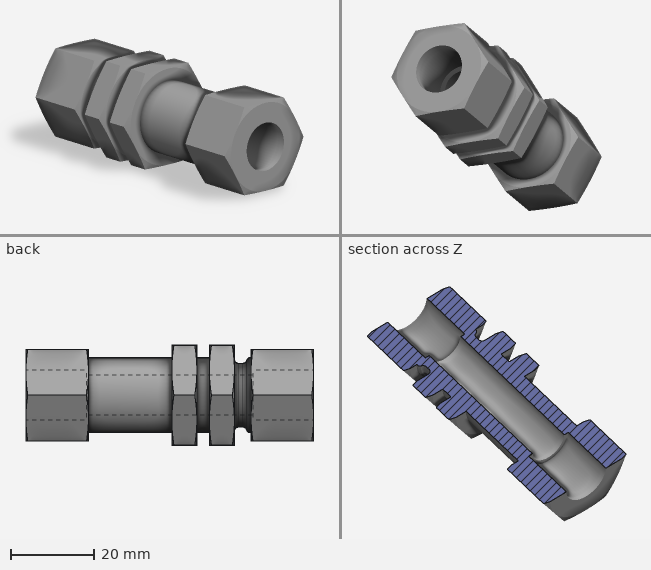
import cadquery as cq
import math


total_length = 69.0
nut_length = 15.0
shoulder_length = 1.0
undercut_length = 3.0
collar_length = 6.0
bulkhead_gap = 3.0
locknut_length = 6.0

nut_flats = 22.0
collar_flats = 24.0
hex_chamfer_angle = math.radians(15)

body_diameter = 18.0
undercut_diameter = 15.3
bore_diameter = 9.6
tube_diameter = 12.0
tube_socket_depth = 14.5

undercut_fillet = 1.0
shoulder_chamfer = 0.5

left_end = -total_length / 2
right_end = total_length / 2
left_nut_end = left_end + nut_length
undercut_start = left_nut_end + shoulder_length
collar_start = undercut_start + undercut_length
collar_end = collar_start + collar_length
locknut_start = collar_end + bulkhead_gap
right_nut_start = right_end - nut_length


def cylinder(start, length, diameter):
    """Solid cylinder along X."""
    return cq.Workplane("YZ", origin=(start, 0, 0)).circle(diameter / 2).extrude(length)


def chamfered_hex(start, length, flats):
    """Hexagonal prism along X with its corners turned off conically at both ends."""
    corner_diameter = flats / math.cos(math.pi / 6)
    prism = cq.Workplane("YZ", origin=(start, 0, 0)).polygon(6, corner_diameter).extrude(length)

    face_radius = flats / 2
    corner_radius = corner_diameter / 2
    chamfer_length = (corner_radius - face_radius) * math.tan(hex_chamfer_angle)
    end = start + length
    envelope = (
        cq.Workplane("XY")
        .moveTo(start, 0)
        .lineTo(start, face_radius)
        .lineTo(start + chamfer_length, corner_radius)
        .lineTo(end - chamfer_length, corner_radius)
        .lineTo(end, face_radius)
        .lineTo(end, 0)
        .close()
        .revolve(360, (0, 0, 0), (1, 0, 0))
    )
    return prism.intersect(envelope)


def undercut_neck():
    """Turned neck: 45 degree chamfered shoulder by the nut, then a groove filleted on each side."""
    outer_radius = body_diameter / 2
    neck_radius = undercut_diameter / 2
    flat_start = undercut_start + undercut_fillet
    flat_end = collar_start - undercut_fillet

    def fillet_point(flat_edge, angle):
        """Point on a fillet, at an angle swept from its tangent point at the flat edge."""
        return (
            flat_edge + undercut_fillet * math.sin(angle),
            neck_radius + undercut_fillet * (1 - math.cos(angle)),
        )

    chamfer_foot_radius = outer_radius - shoulder_chamfer
    shoulder_sweep = math.acos(1 - (chamfer_foot_radius - neck_radius) / undercut_fillet)
    collar_sweep = math.pi / 2
    chamfer_foot = fillet_point(flat_start, -shoulder_sweep)
    return (
        cq.Workplane("XY")
        .moveTo(left_nut_end, 0)
        .lineTo(left_nut_end, outer_radius)
        .lineTo(chamfer_foot[0] - shoulder_chamfer, outer_radius)
        .lineTo(*chamfer_foot)
        .threePointArc(fillet_point(flat_start, -shoulder_sweep / 2), (flat_start, neck_radius))
        .lineTo(flat_end, neck_radius)
        .threePointArc(fillet_point(flat_end, collar_sweep / 2), fillet_point(flat_end, collar_sweep))
        .lineTo(collar_start, 0)
        .close()
        .revolve(360, (0, 0, 0), (1, 0, 0))
    )


left_nut = chamfered_hex(left_end, nut_length, nut_flats)
collar = chamfered_hex(collar_start, collar_length, collar_flats)
locknut = chamfered_hex(locknut_start, locknut_length, collar_flats)
right_nut = chamfered_hex(right_nut_start, nut_length, nut_flats)
body = cylinder(collar_end, right_nut_start - collar_end, body_diameter)

fitting = left_nut.union(undercut_neck()).union(collar).union(body).union(locknut).union(right_nut)

bore = cylinder(left_end, total_length, bore_diameter)
left_socket = cylinder(left_end, tube_socket_depth, tube_diameter)
right_socket = cylinder(right_end - tube_socket_depth, tube_socket_depth, tube_diameter)

result = fitting.cut(bore).cut(left_socket).cut(right_socket)